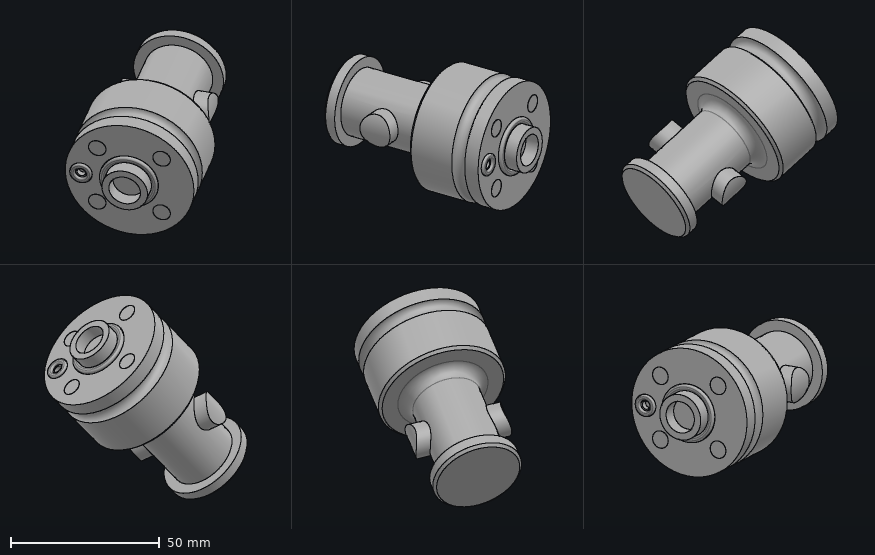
import cadquery as cq
import math

overall_length = 72.5
spigot_length = 6.0
back_end = overall_length - spigot_length

body_radius = 22.51
body_length = 27.85
body_chamfer = 1.0
groove_start = 5.4
groove_width = 5.2
groove_depth = 2.5

neck_radius = 11.95
neck_fillet = 4.0
flange_radius = 15.7
flange_thickness = 4.65
flange_chamfer = 1.0

spigot_radius = 8.0
bore_radius = 5.5
bore_depth = 5.0

pin_radius = 6.0
pin_position = 44.95
pin_reach = 17.0

ring_flat_half_width = 0.325
main_ring_mean_radius = 9.05
main_ring_side_radius = 0.9
main_ring_height = 1.5
port_offset = 16.8
port_ring_mean_radius = 2.9
port_ring_side_radius = 0.69
port_ring_height = 1.1
port_hole_radius = 1.45
port_hole_depth = 2.2

screw_radius = 3.05
screw_offset = 11.25
screw_height = 0.1

embed = 0.7


def front_cylinder(radius, height, x=0, z=0):
    """Cylinder standing proud of the front face and rooted inside the body."""
    plane = cq.Plane(origin=(x, embed, z), xDir=(1, 0, 0), normal=(0, -1, 0))
    return cq.Workplane(plane).circle(radius).extrude(height + embed)


def seal_ring(mean_radius, side_radius, height, x=0):
    """Ring standing to the given height, its section slot-shaped with rounded sides."""
    section_width = 2 * (ring_flat_half_width + side_radius)
    section = (
        cq.Workplane("XY")
        .center(mean_radius, side_radius - height)
        .slot2D(section_width, 2 * side_radius)
    )
    axis_start = (-mean_radius, 0)
    axis_end = (-mean_radius, 1)
    return section.revolve(360, axis_start, axis_end).translate((x, 0, 0))


def turned_body():
    """Body, groove, neck and end flange revolved as one profile."""
    groove_end = groove_start + groove_width
    groove_middle = groove_start + groove_width / 2
    fillet_center_x = neck_radius + neck_fillet
    fillet_center_y = body_length + neck_fillet
    fillet_reach = neck_fillet * math.sqrt(0.5)
    profile = (
        cq.Workplane("XY")
        .lineTo(body_radius, 0)
        .lineTo(body_radius, groove_start)
        .threePointArc((body_radius - groove_depth, groove_middle), (body_radius, groove_end))
        .lineTo(body_radius, body_length - body_chamfer)
        .lineTo(body_radius - body_chamfer, body_length)
        .lineTo(fillet_center_x, body_length)
        .threePointArc(
            (fillet_center_x - fillet_reach, fillet_center_y - fillet_reach),
            (neck_radius, fillet_center_y),
        )
        .lineTo(neck_radius, back_end - flange_thickness)
        .lineTo(flange_radius, back_end - flange_thickness)
        .lineTo(flange_radius, back_end - flange_chamfer)
        .lineTo(flange_radius - flange_chamfer, back_end)
        .lineTo(0, back_end)
        .close()
    )
    return profile.revolve(360, (0, 0, 0), (0, 1, 0))


def cross_pin(side):
    """Half pin to one side (+1 or -1 in X), its end rounded to the neck radius."""
    bar = (
        cq.Workplane("YZ")
        .center(pin_position, 0)
        .circle(pin_radius)
        .extrude(side * pin_reach)
    )
    end_center_x = side * (pin_reach - neck_radius)
    end_round = cq.Workplane("XZ").center(end_center_x, 0).circle(neck_radius).extrude(-back_end)
    return bar.intersect(end_round)


result = turned_body().union(cross_pin(1)).union(cross_pin(-1))

result = result.union(front_cylinder(spigot_radius, spigot_length))
bore = cq.Workplane("XZ", origin=(0, -spigot_length, 0)).circle(bore_radius).extrude(-bore_depth)
result = result.cut(bore)

result = result.union(seal_ring(main_ring_mean_radius, main_ring_side_radius, main_ring_height))
result = result.union(
    seal_ring(port_ring_mean_radius, port_ring_side_radius, port_ring_height, -port_offset)
)
port = cq.Workplane("XZ").center(-port_offset, 0).circle(port_hole_radius).extrude(-port_hole_depth)
result = result.cut(port)

for x_side in (-1, 1):
    for z_side in (-1, 1):
        head = front_cylinder(screw_radius, screw_height, x_side * screw_offset, z_side * screw_offset)
        result = result.union(head)